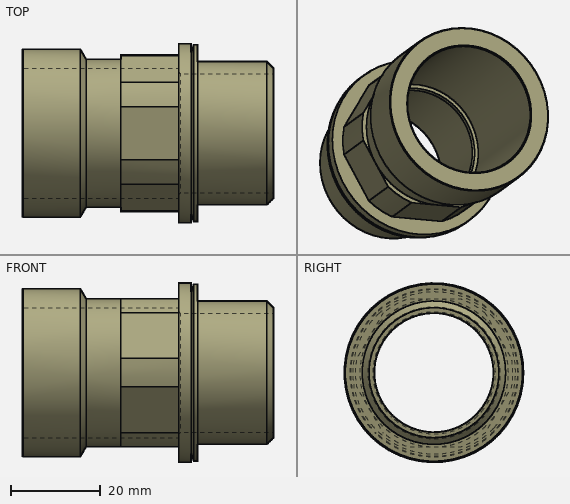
import cadquery as cq

length = 56.0
collar_end = 12.9
neck_start = 14.2
hex_start = 21.95
flange_start = 34.85
flange_end = 37.65
washer_rim = 38.2
washer_end = 39.05
socket_depth = 34.85

collar_diameter = 37.5
neck_diameter = 33.05
flange_diameter = 40.0
washer_contact_diameter = 36.25
washer_diameter = 39.5
spigot_diameter = 32.0

hex_across_flats = neck_diameter
hex_corner_diameter = 35.05

socket_diameter = 29.0
bore_diameter = 26.5

spigot_chamfer = 1.5
collar_chamfer = 0.15
socket_chamfer = 0.2
bore_chamfer = 0.4


def cylinder(start, end, diameter):
    """Solid cylinder on the X axis between two positions."""
    return cq.Workplane("YZ", origin=(start, 0, 0)).circle(diameter / 2).extrude(end - start)


def revolve_about_x(profile):
    """Solid of revolution from a closed list of (x, radius) points."""
    return cq.Workplane("XY").polyline(profile).close().revolve(360, (0, 0, 0), (1, 0, 0))


def make_collar():
    """Collar with a broken front edge and a conical step down to the neck."""
    collar_radius = collar_diameter / 2
    profile = [
        (0, 0),
        (0, collar_radius - collar_chamfer),
        (collar_chamfer, collar_radius),
        (collar_end, collar_radius),
        (neck_start, neck_diameter / 2),
        (neck_start, 0),
    ]
    return revolve_about_x(profile)


def make_hexagon():
    """Spanner hexagon with its corners turned down to a cylinder."""
    hexagon = (
        cq.Workplane("YZ", origin=(hex_start, 0, 0))
        .transformed(rotate=(0, 0, 90))
        .polygon(6, hex_across_flats, circumscribed=True)
        .extrude(flange_start - hex_start)
    )
    return hexagon.intersect(cylinder(hex_start, flange_start, hex_corner_diameter))


def make_washer():
    """Sealing washer whose conical back face tapers down to the flange."""
    profile = [
        (flange_end, 0),
        (flange_end, washer_contact_diameter / 2),
        (washer_rim, washer_diameter / 2),
        (washer_end, washer_diameter / 2),
        (washer_end, 0),
    ]
    return revolve_about_x(profile)


def make_spigot():
    """Plain spigot with a chamfered free end."""
    return cylinder(washer_end, length, spigot_diameter).faces(">X").edges().chamfer(spigot_chamfer)


def make_bore():
    """Stepped through bore, chamfered at the socket mouth and at the step."""
    socket_radius = socket_diameter / 2
    bore_radius = bore_diameter / 2
    profile = [
        (0, 0),
        (0, socket_radius + socket_chamfer),
        (socket_chamfer, socket_radius),
        (socket_depth, socket_radius),
        (socket_depth, bore_radius + bore_chamfer),
        (socket_depth + bore_chamfer, bore_radius),
        (length, bore_radius),
        (length, 0),
    ]
    return revolve_about_x(profile)


result = (
    make_collar()
    .union(cylinder(neck_start, hex_start, neck_diameter))
    .union(make_hexagon())
    .union(cylinder(flange_start, flange_end, flange_diameter))
    .union(make_washer())
    .union(make_spigot())
    .cut(make_bore())
)